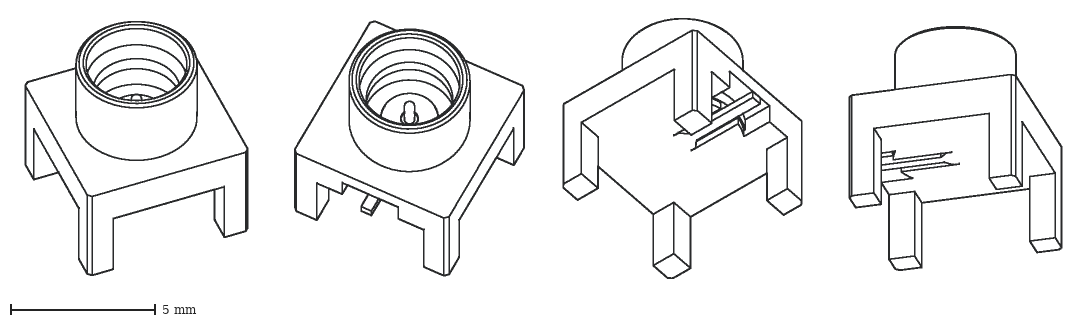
import cadquery as cq

total_height = 6.6
block_top = 3.9
block_bottom = 2.5

block_side = 6.0
corner_chamfer = 0.13
leg_side = 0.925
leg_gap = block_side - 2 * leg_side

barrel_diameter = 4.2
rim_chamfer = 0.105
bore_diameter = 3.5
bore_chamfer = 0.1
bore_depth = 0.9
lip_diameter = 3.0
lip_top_depth = 1.33
lip_bottom_depth = 1.83
groove_diameter = 3.2
cavity_floor = block_top

insulator_diameter = 2.0
insulator_rise = 0.1
contact_hole_diameter = 0.6
contact_diameter = 0.35
contact_length = 1.0
contact_tip_radius = 0.085

window_width = 2.18
window_top = 3.28
upper_core_diameter = 4.395
lower_core_diameter = 4.3

lead_width = 0.4
lead_height = 0.305
lead_top = block_bottom + lead_height
lead_overhang = 0.305
lead_slot_width = 0.965
lead_head_width = 0.94


def cylinder(diameter, bottom, top):
    """Vertical cylinder on the part axis between two levels."""
    return cq.Workplane("XY", origin=(0, 0, bottom)).circle(diameter / 2).extrude(top - bottom)


def box(x_min, x_max, width, bottom, top):
    """Box centred on Y = 0 between two X positions and two levels."""
    base = cq.Workplane("XY", origin=((x_min + x_max) / 2, 0, bottom))
    return base.rect(x_max - x_min, width).extrude(top - bottom)


def make_block():
    """Chamfered block with crossing channels below that leave four legs."""
    half_side = block_side / 2
    block = box(-half_side, half_side, block_side, 0, block_top)
    block = block.edges("|Z").chamfer(corner_chamfer)
    block = block.cut(box(-half_side, half_side, leg_gap, 0, block_bottom))
    return block.cut(box(-leg_gap / 2, leg_gap / 2, block_side, 0, block_bottom))


def make_barrel():
    """Outer barrel with its chamfered rim."""
    barrel = cylinder(barrel_diameter, block_top, total_height)
    return barrel.faces(">Z").edges().chamfer(rim_chamfer)


def make_bore():
    """Revolved bore: lead-in, straight bore, cone, retaining lip and groove."""
    bore_radius = bore_diameter / 2
    lip_radius = lip_diameter / 2
    groove_radius = groove_diameter / 2
    lip_bottom = total_height - lip_bottom_depth
    profile = [
        (0, total_height),
        (bore_radius + bore_chamfer, total_height),
        (bore_radius, total_height - bore_chamfer),
        (bore_radius, total_height - bore_depth),
        (lip_radius, total_height - lip_top_depth),
        (lip_radius, lip_bottom),
        (groove_radius, lip_bottom),
        (groove_radius, cavity_floor),
        (0, cavity_floor),
    ]
    return cq.Workplane("XZ").polyline(profile).close().revolve(360, (0, 0, 0), (0, 1, 0))


def make_contact():
    """Raised insulator with a clearance hole around the centre contact."""
    insulator_top = cavity_floor + insulator_rise
    insulator = cylinder(insulator_diameter, cavity_floor, insulator_top)
    insulator = insulator.cut(cylinder(contact_hole_diameter, cavity_floor, insulator_top))
    pin = cylinder(contact_diameter, cavity_floor, cavity_floor + contact_length)
    return insulator.union(pin.faces(">Z").edges().fillet(contact_tip_radius))


def make_window():
    """Opening in the -X wall, ending at the convex core, with the lead slot in the core."""
    window = box(-block_side / 2, 0, window_width, block_bottom, window_top)
    upper_core = cylinder(upper_core_diameter, lead_top, window_top)
    lower_core = cylinder(lower_core_diameter, block_bottom, lead_top)
    window = window.cut(upper_core).cut(lower_core)
    slot = box(-upper_core_diameter / 2, 0, lead_slot_width, block_bottom, lead_top)
    return window.union(slot)


def make_lead():
    """Flat lead that flares at 45 degrees into an eight-sided head on the part axis."""
    lead = box(-block_side / 2 - lead_overhang, 0, lead_width, block_bottom, lead_top)
    half_head = lead_head_width / 2
    head = box(-half_head, half_head, lead_head_width, block_bottom, lead_top)
    head = head.edges("|Z").chamfer((lead_head_width - lead_width) / 2)
    return lead.union(head)


body = make_block().union(make_barrel()).cut(make_bore()).union(make_contact())
result = body.cut(make_window()).union(make_lead())